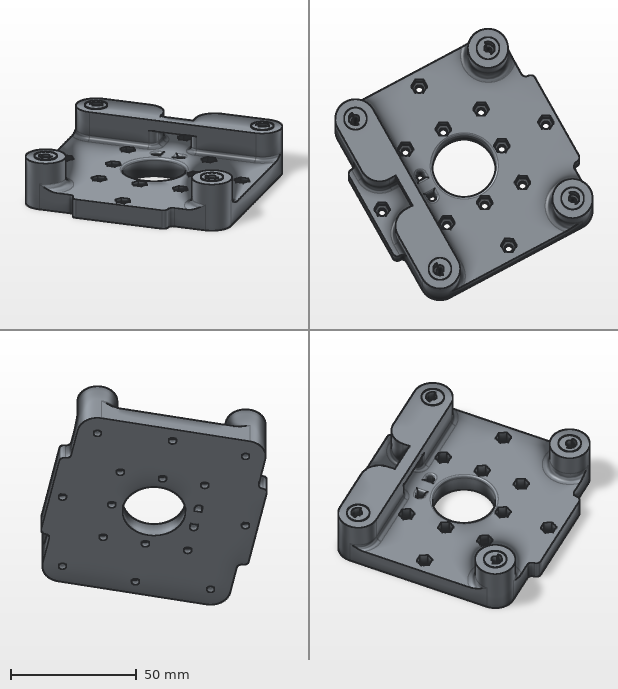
import cadquery as cq
import math

PLATE_WIDTH = 86.0
PLATE_DEPTH = 76.0
PLATE_HEIGHT = 7.9
TAB_WIDTH = 40.1
TAB_SPAN = 84.1
TAB_ROUND = 2.0

BOSS_DIAMETER = 16.0
BOSS_RADIUS = BOSS_DIAMETER / 2
BOSS_X = PLATE_WIDTH / 2 - BOSS_RADIUS
BOSS_Y = PLATE_DEPTH / 2 - BOSS_RADIUS
BOSS_TOP = 19.7
FRONT_BOSS_FILLET = 3.0

RING_DIAMETER = 9.0
RING_TOP = 20.0
BOSS_HOLE = 3.1
HALF_POCKET_DIAMETER = 5.4
HALF_POCKET_DEPTH = 5.0

GAP_HALF_WIDTH = 7.0
PIER_FRONT_ROUND = 3.0
PIER_FILLET = 2.0
BRIDGE_THICKNESS = 5.1
BRIDGE_UNDERSIDE = 15.05

CENTER_HOLE = 25.0
CENTER_RIM_ROUND = 1.0

SCREW_HOLE = 3.2
NUT_ACROSS_FLATS = 5.5
NUT_POCKET_DEPTH = 5.0
INNER_PITCH = 17.1
OUTER_PITCH = 37.1

SLOT_RADIUS = 1.55
SLOT_ROUND_X = 5.1
SLOT_FLAT_X = 3.35
SLOT_Y = INNER_PITCH
SLOT_RIM_ROUND = 1.0

SIDES = (-1, 1)
DIAGONAL = math.sqrt(0.5)

MARGIN = 0.1


def cylinder(x, y, diameter, bottom, top):
    return cq.Workplane("XY", origin=(x, y, bottom)).circle(diameter / 2).extrude(top - bottom)


def mirror_pair(half):
    return half.union(half.mirror("YZ"))


def top_edges_within(x0, x1, y0, y1):
    """Select the edges at plate-top height whose centers lie within the given limits."""
    return cq.selectors.BoxSelector(
        (x0 - MARGIN, y0 - MARGIN, PLATE_HEIGHT - MARGIN),
        (x1 + MARGIN, y1 + MARGIN, PLATE_HEIGHT + MARGIN),
    )


def make_footprint(height):
    """Plate outline with its tabs, extruded to the given height."""
    body = cq.Workplane("XY").rect(PLATE_WIDTH, PLATE_DEPTH).extrude(height)
    body = body.edges("|Z").fillet(BOSS_RADIUS)
    tabs = cq.Workplane("XY").rect(TAB_WIDTH, TAB_SPAN).extrude(height)
    tabs = tabs.edges("|Z").fillet(TAB_ROUND)
    tab_roots = cq.selectors.BoxSelector(
        (-TAB_WIDTH / 2 - TAB_ROUND / 2, -PLATE_DEPTH / 2 - TAB_ROUND / 2, 0),
        (TAB_WIDTH / 2 + TAB_ROUND / 2, PLATE_DEPTH / 2 + TAB_ROUND / 2, height),
    )
    return body.union(tabs).edges("|Z").edges(tab_roots).fillet(TAB_ROUND)


def make_crossbar():
    """Two piers around an arched gap, joined at the top by a bridge."""
    bar = (
        cq.Workplane("XY", origin=(0, BOSS_Y, 0))
        .slot2D(PLATE_WIDTH, BOSS_DIAMETER)
        .extrude(BOSS_TOP)
    )
    gap_back = BOSS_Y + BOSS_RADIUS
    gap_front = BOSS_Y - BOSS_RADIUS
    back_reach = BOSS_RADIUS * (1 - DIAGONAL)
    front_reach = PIER_FRONT_ROUND * (1 - DIAGONAL)
    gap = (
        cq.Workplane("XY")
        .moveTo(GAP_HALF_WIDTH + PIER_FRONT_ROUND, gap_front)
        .threePointArc(
            (GAP_HALF_WIDTH + front_reach, gap_front + front_reach),
            (GAP_HALF_WIDTH, gap_front + PIER_FRONT_ROUND),
        )
        .lineTo(GAP_HALF_WIDTH, BOSS_Y)
        .threePointArc(
            (GAP_HALF_WIDTH + back_reach, gap_back - back_reach),
            (GAP_HALF_WIDTH + BOSS_RADIUS, gap_back),
        )
        .lineTo(0, gap_back)
        .lineTo(0, gap_front)
        .close()
        .extrude(BOSS_TOP)
    )
    bridge_space = (
        cq.Workplane("XY", origin=(0, gap_front + BRIDGE_THICKNESS / 2, BRIDGE_UNDERSIDE))
        .rect(PLATE_WIDTH, BRIDGE_THICKNESS)
        .extrude(BOSS_TOP - BRIDGE_UNDERSIDE)
    )
    return bar.cut(mirror_pair(gap).cut(bridge_space))


def blend_into_plate(body, post, radius):
    """Add a post and fillet it where it meets the top of the plate slab."""
    bounds = post.val().BoundingBox()
    base_edges = top_edges_within(bounds.xmin, bounds.xmax, bounds.ymin, bounds.ymax)
    return body.union(post).edges(base_edges).fillet(radius)


def make_body():
    """Blend the posts into an oversize slab, trim it to the plate and restore the corners."""
    crossbar = make_crossbar()
    front_bosses = [cylinder(x, -BOSS_Y, BOSS_DIAMETER, 0, BOSS_TOP) for x in (-BOSS_X, BOSS_X)]

    slab = cq.Workplane("XY").rect(2 * PLATE_WIDTH, 2 * PLATE_WIDTH).extrude(PLATE_HEIGHT)
    body = blend_into_plate(slab, crossbar, PIER_FILLET)
    for boss in front_bosses:
        body = blend_into_plate(body, boss, FRONT_BOSS_FILLET)

    corner_squares = (
        cq.Workplane("XY")
        .rect(PLATE_WIDTH, PLATE_DEPTH, forConstruction=True)
        .vertices()
        .rect(BOSS_DIAMETER, BOSS_DIAMETER)
        .extrude(BOSS_TOP)
    )
    body = body.intersect(make_footprint(BOSS_TOP).cut(corner_squares))

    for post in front_bosses + [crossbar]:
        body = body.union(post)
    return body


def finish_boss(body, x, y):
    """Add the raised ring, then cut the through hole and the outward half pocket."""
    body = body.union(cylinder(x, y, RING_DIAMETER, BOSS_TOP, RING_TOP))
    body = body.cut(cylinder(x, y, BOSS_HOLE, 0, RING_TOP))
    outward = math.copysign(1, y)
    outer_half = (
        cq.Workplane("XY", origin=(x, y + outward * HALF_POCKET_DIAMETER / 2, 0))
        .rect(HALF_POCKET_DIAMETER, HALF_POCKET_DIAMETER)
        .extrude(RING_TOP)
    )
    pocket = cylinder(x, y, HALF_POCKET_DIAMETER, RING_TOP - HALF_POCKET_DEPTH, RING_TOP)
    return body.cut(pocket.intersect(outer_half))


def make_nut_holes():
    """Screw holes with nut pockets: seven on the inner square, four on the outer cross."""
    inner = [
        (i * INNER_PITCH, j * INNER_PITCH)
        for i in (-1, 0, 1)
        for j in (-1, 0, 1)
        if (i, j) not in ((0, 0), (0, 1))
    ]
    outer = [(s * OUTER_PITCH, 0) for s in SIDES] + [(0, s * OUTER_PITCH) for s in SIDES]
    points = inner + outer
    holes = cq.Workplane("XY").pushPoints(points).circle(SCREW_HOLE / 2).extrude(PLATE_HEIGHT)
    across_corners = NUT_ACROSS_FLATS / math.cos(math.pi / 6)
    pockets = (
        cq.Workplane("XY", origin=(0, 0, PLATE_HEIGHT - NUT_POCKET_DEPTH))
        .pushPoints(points)
        .polygon(6, across_corners)
        .extrude(NUT_POCKET_DEPTH)
    )
    return holes.union(pockets)


def cut_with_round_rim(body, cutter, radius):
    """Cut an opening through the plate and round its upper rim."""
    bounds = cutter.val().BoundingBox()
    rim = top_edges_within(bounds.xmin, bounds.xmax, bounds.ymin, bounds.ymax)
    return body.cut(cutter).edges(rim).fillet(radius)


def make_slot():
    """Right-hand D-shaped slot: flat side inwards, round side outwards."""
    return (
        cq.Workplane("XY")
        .moveTo(SLOT_FLAT_X, SLOT_Y - SLOT_RADIUS)
        .lineTo(SLOT_ROUND_X, SLOT_Y - SLOT_RADIUS)
        .threePointArc(
            (SLOT_ROUND_X + SLOT_RADIUS, SLOT_Y),
            (SLOT_ROUND_X, SLOT_Y + SLOT_RADIUS),
        )
        .lineTo(SLOT_FLAT_X, SLOT_Y + SLOT_RADIUS)
        .close()
        .extrude(PLATE_HEIGHT)
    )


result = make_body()

center_cutter = cylinder(0, 0, CENTER_HOLE, 0, PLATE_HEIGHT)
result = cut_with_round_rim(result, center_cutter, CENTER_RIM_ROUND)

right_slot = make_slot()
for slot in (right_slot, right_slot.mirror("YZ")):
    result = cut_with_round_rim(result, slot, SLOT_RIM_ROUND)

for boss_x in (-BOSS_X, BOSS_X):
    for boss_y in (-BOSS_Y, BOSS_Y):
        result = finish_boss(result, boss_x, boss_y)

result = result.cut(make_nut_holes())